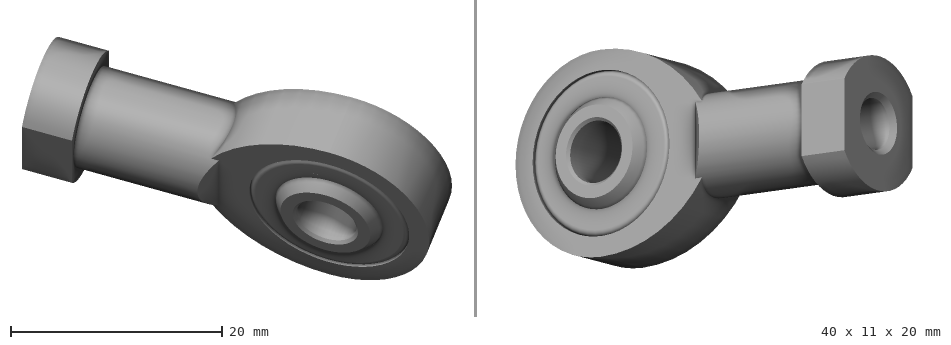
import cadquery as cq
import math


eye_radius = 10.0
eye_width = 6.75
eye_flank_radius = 14.2
shank_radius = 5.0
shank_bevel_start = -12.65
shank_end = -10.0
head_left = -30.0
head_length = 5.0
head_diameter = 13.0
head_flats = 11.0

core_radius = 2.5
thread_radius = 3.0
thread_depth = 12.0
drill_tip_angle = 118.0

race_radius = 8.0
race_edge_round = 0.6
ball_radius = 6.35
liner_radius = 6.9
ball_width = 9.0
bore_radius = 3.0
bore_chamfer = 0.3

half_eye = eye_width / 2
head_radius = head_diameter / 2


def cylinder_y(radius, width):
    """Cylinder along Y, centred on the origin."""
    return cq.Workplane("XZ").circle(radius).extrude(width / 2, both=True)


def cylinder_x(radius, start, end):
    """Cylinder along X between two X positions."""
    return cq.Workplane("YZ", origin=(start, 0, 0)).circle(radius).extrude(end - start)


def spherical_zone(radius, width):
    """Ball at the origin, cut flat at both ends along Y."""
    half_width = width / 2
    rim = math.sqrt(radius**2 - half_width**2)
    return (
        cq.Workplane("XY")
        .moveTo(0, -half_width)
        .lineTo(rim, -half_width)
        .threePointArc((radius, 0), (rim, half_width))
        .lineTo(0, half_width)
        .close()
        .revolve(360, (0, 0, 0), (0, 1, 0))
    )


def flank_x(z):
    """X position of the eye's upper flank at height z."""
    rise = z + eye_flank_radius - eye_radius
    return -math.sqrt(eye_flank_radius**2 - rise**2)


def make_eye():
    """Eye plate: round at the far end, with flanks that sweep in to the shank."""
    root_z = math.sqrt(shank_radius**2 - half_eye**2)
    middle_z = (root_z + eye_radius) / 2
    return (
        cq.Workplane("XZ")
        .moveTo(flank_x(root_z), root_z)
        .threePointArc((flank_x(middle_z), middle_z), (0, eye_radius))
        .threePointArc((eye_radius, 0), (0, -eye_radius))
        .threePointArc((flank_x(middle_z), -middle_z), (flank_x(root_z), -root_z))
        .close()
        .extrude(half_eye, both=True)
    )


def make_shank():
    """Round shank, bevelled at 45 degrees down to the eye faces."""
    bevel_end = shank_bevel_start + shank_radius - half_eye
    plan = (
        cq.Workplane("XY")
        .moveTo(head_left, -shank_radius)
        .lineTo(shank_bevel_start, -shank_radius)
        .lineTo(bevel_end, -half_eye)
        .lineTo(shank_end, -half_eye)
        .lineTo(shank_end, half_eye)
        .lineTo(bevel_end, half_eye)
        .lineTo(shank_bevel_start, shank_radius)
        .lineTo(head_left, shank_radius)
        .close()
        .extrude(shank_radius, both=True)
    )
    return cylinder_x(shank_radius, head_left, shank_end).intersect(plan)


def make_head():
    """Round wrench head with two flats facing Y."""
    flats = cq.Workplane("XY").box(-2 * head_left, head_flats, 2 * head_radius)
    return cylinder_x(head_radius, head_left, head_left + head_length).intersect(flats)


def make_threaded_hole():
    """Blind hole with a 45 degree countersink and a conical drill tip."""
    countersink = thread_radius - core_radius
    tip_length = core_radius / math.tan(math.radians(drill_tip_angle / 2))
    hole_end = head_left + thread_depth
    return (
        cq.Workplane("XY")
        .moveTo(head_left, 0)
        .lineTo(head_left, thread_radius)
        .lineTo(head_left + countersink, core_radius)
        .lineTo(hole_end, core_radius)
        .lineTo(hole_end + tip_length, 0)
        .close()
        .revolve(360, (0, 0, 0), (1, 0, 0))
    )


def make_housing():
    blank = make_eye().union(make_shank()).union(make_head())
    return blank.cut(cylinder_y(race_radius, eye_width)).cut(make_threaded_hole())


def make_race():
    """Outer ring with rounded outer edges and a spherical seat."""
    ring = cylinder_y(race_radius, eye_width).edges().fillet(race_edge_round)
    return ring.cut(spherical_zone(liner_radius, eye_width))


def make_liner():
    """Thin spherical shell between the race and the ball."""
    outside = spherical_zone(liner_radius, eye_width)
    return outside.cut(spherical_zone(ball_radius, eye_width))


def make_ball():
    """Truncated ball with a through bore chamfered at both ends."""
    ball = spherical_zone(ball_radius, ball_width)
    bored = ball.cut(cylinder_y(bore_radius, ball_width))
    bore_rims = bored.faces("<Y or >Y").edges(cq.selectors.RadiusNthSelector(0))
    return bored.newObject(bore_rims.vals()).chamfer(bore_chamfer)


housing = make_housing().solids()
race = make_race().solids()
liner = make_liner().solids()
ball = make_ball().solids()

result = cq.Compound.makeCompound([housing.val(), race.val(), liner.val(), ball.val()])